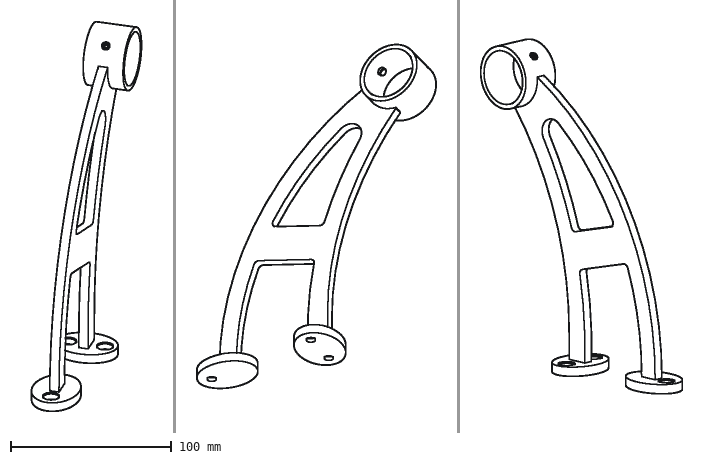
import cadquery as cq
import math

ring_outer_diameter = 40.0
ring_inner_diameter = 34.0
ring_length = 26.0
overall_height = 200.0
ring_height = overall_height - ring_outer_diameter / 2

foot_length = 40.0
foot_width = 30.0
foot_thickness = 6.0
back_foot_y = -55.0
front_foot_y = -120.0

screw_hole_diameter = 5.5
countersink_diameter = 10.5
countersink_rim = 1.0
countersink_depth = (countersink_diameter - screw_hole_diameter) / 2
back_hole_offset = 12.0
front_hole_offset = 11.0

web_thickness = 6.0
front_arc_center = (76.0, 6.5)
front_arc_radius = 200.0
front_leg_width = 12.0
back_arc_center = (170.0, 23.0)
back_arc_radius = 218.0
back_leg_inner_center = (180.0, 16.0)
back_leg_inner_radius = 242.0

bar_width = 24.0
bar_slope = 15.0
bar_point = (-80.0, 71.0)
corner_radius = 3.0
window_top_radius = 9.0

set_screw_diameter = 5.0
set_screw_end_diameter = 4.2
set_screw_tilt = 45.0
set_screw_inner_reach = 14.5
set_screw_outer_reach = 19.5
socket_width = 2.5
socket_depth = 2.5
socket_turn = 90.0

web_plane = cq.Plane(origin=(-web_thickness / 2, 0, 0), xDir=(0, 1, 0), normal=(1, 0, 0))
set_screw_direction = (
    0,
    -math.sin(math.radians(set_screw_tilt)),
    math.cos(math.radians(set_screw_tilt)),
)


def web_disc(center, radius):
    """Disc as thick as the web, with its center given as (Y, Z)."""
    return cq.Workplane(web_plane).center(*center).circle(radius).extrude(web_thickness)


def web_block(low_corner, high_corner):
    """Rectangular block as thick as the web, between two (Y, Z) corners."""
    width = high_corner[0] - low_corner[0]
    height = high_corner[1] - low_corner[1]
    return (
        cq.Workplane(web_plane)
        .center(*low_corner)
        .rect(width, height, centered=False)
        .extrude(web_thickness)
    )


def bar_side_block(above):
    """Large block on one side of the cross bar, its edge following the bar's slope."""
    reach = overall_height
    low = bar_width if above else -reach
    return (
        cq.Workplane(web_plane)
        .center(*bar_point)
        .transformed(rotate=(0, 0, -bar_slope))
        .center(0, low)
        .rect(2 * reach, reach, centered=(True, False))
        .extrude(web_thickness)
    )


def round_edges(body, selector, radius):
    """Round the edges along X that the selector picks."""
    return body.edges("|X").edges(selector).fillet(radius)


def between_legs():
    """Space enclosed by the inner arcs of the two legs."""
    inside_front = web_disc(front_arc_center, front_arc_radius - front_leg_width)
    inside_back = web_disc(back_leg_inner_center, back_leg_inner_radius)
    above_feet = web_block((front_foot_y, foot_thickness), (ring_outer_diameter, overall_height))
    return inside_front.cut(inside_back).intersect(above_feet)


def behind_back_leg():
    """Space behind the back leg: an arc that runs straight down from the height of its center."""
    straight_y = back_arc_center[0] - back_arc_radius
    straight_part = web_block((straight_y, foot_thickness), (0, back_arc_center[1]))
    return web_disc(back_arc_center, back_arc_radius).union(straight_part)


def make_web():
    """Curved plate with two legs, a window and the gap between the legs below the cross bar."""
    outline = web_disc(front_arc_center, front_arc_radius)
    outline = outline.cut(behind_back_leg())
    outline = outline.intersect(
        web_block((front_foot_y - foot_length / 2, foot_thickness), (0, overall_height))
    )
    gap = between_legs()
    window = gap.intersect(bar_side_block(above=True))
    window = round_edges(window, ">Z", window_top_radius)
    window = round_edges(window, "<Z or <Y", corner_radius)
    leg_gap = gap.intersect(bar_side_block(above=False))
    bar_side_edges = cq.selectors.BoxSelector(
        (-web_thickness, front_foot_y, 2 * foot_thickness), (web_thickness, 0, overall_height)
    )
    leg_gap = round_edges(leg_gap, bar_side_edges, corner_radius)
    return outline.cut(window).cut(leg_gap)


def make_foot(center_y, x_radius, y_radius, hole_points):
    """Elliptical foot plate with countersunk holes at the given (X, Y) offsets."""
    foot = cq.Workplane().center(0, center_y).ellipse(x_radius, y_radius).extrude(foot_thickness)
    cone_top = foot_thickness - countersink_rim
    hole_profile = (
        cq.Workplane("XZ")
        .polyline([
            (0, 0),
            (screw_hole_diameter / 2, 0),
            (screw_hole_diameter / 2, cone_top - countersink_depth),
            (countersink_diameter / 2, cone_top),
            (countersink_diameter / 2, foot_thickness),
            (0, foot_thickness),
        ])
        .close()
    )
    hole = hole_profile.revolve(360, (0, 0), (0, 1))
    for x, y in hole_points:
        foot = foot.cut(hole.translate((x, center_y + y, 0)))
    return foot


def ring_cylinder(diameter):
    """Cylinder as long as the ring, on the ring axis."""
    return (
        cq.Workplane("YZ")
        .center(0, ring_height)
        .circle(diameter / 2)
        .extrude(ring_length / 2, both=True)
    )


def set_screw_plane(reach):
    """Plane square to the set screw, at a distance from the ring axis."""
    origin = cq.Vector(0, 0, ring_height) + cq.Vector(*set_screw_direction) * reach
    return cq.Workplane(cq.Plane(origin=origin, xDir=(1, 0, 0), normal=set_screw_direction))


def make_bracket():
    back_foot = make_foot(
        back_foot_y,
        foot_length / 2,
        foot_width / 2,
        [(-back_hole_offset, 0), (back_hole_offset, 0)],
    )
    front_foot = make_foot(front_foot_y, foot_width / 2, foot_length / 2, [(0, -front_hole_offset)])
    bracket = make_web().union(ring_cylinder(ring_outer_diameter)).union(back_foot).union(front_foot)
    bracket = bracket.cut(ring_cylinder(ring_inner_diameter))
    screw_hole = set_screw_plane(0).circle(set_screw_diameter / 2).extrude(ring_outer_diameter)
    return bracket.cut(screw_hole)


def make_set_screw():
    length = set_screw_outer_reach - set_screw_inner_reach
    end_chamfer = (set_screw_diameter - set_screw_end_diameter) / 2
    body = set_screw_plane(set_screw_inner_reach).circle(set_screw_diameter / 2).extrude(length)
    body = body.edges("%CIRCLE").chamfer(end_chamfer)
    socket_across_corners = socket_width / math.cos(math.pi / 6)
    socket = (
        set_screw_plane(set_screw_outer_reach)
        .transformed(rotate=(0, 0, socket_turn))
        .polygon(6, socket_across_corners)
        .extrude(-socket_depth)
    )
    return body.cut(socket)


bracket = make_bracket()
set_screw = make_set_screw()
result = cq.Compound.makeCompound([bracket.solids().val(), set_screw.solids().val()])